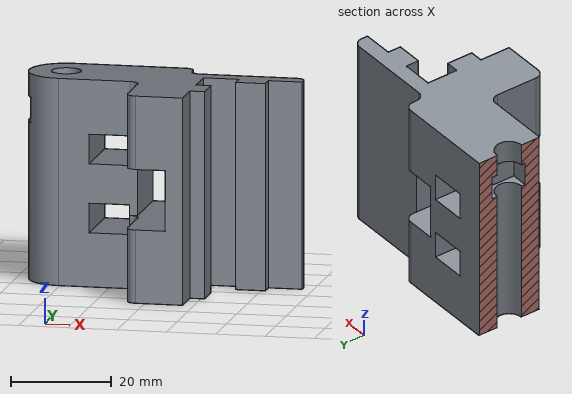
import cadquery as cq

length = 55.5
depth = 28.5
height = 42.0

barrel_radius = 7.5
pin_diameter = 6.0
barrel_y = depth - barrel_radius
body_front = depth - 2 * barrel_radius
edge_radius = 2.0

plate_thickness = 3.5
plate_left = 32.0
plate_right = plate_left + plate_thickness
flange_back = 23.6
flange_front = flange_back - plate_thickness

rib_width = 6.0
rib_depth = 3.0
flange_rib_left = 42.7
plate_rib_front = 7.0

block_left = 24.0
window_left = 23.5
window_bottom = 14.9
window_height = 12.25

strap_left = 13.7
strap_width = 8.15
strap_height = 6.0
strap_bottoms = (11.0, 25.0)

barrel_slot_width = 8.05
barrel_slot_y = 21.2
barrel_slot_bottom = 32.0
barrel_slot_height = 5.1
barrel_slot_depth = 11.1


def box(x, y, z, size_x, size_y, size_z):
    """Box given by its lowest corner and its sizes."""
    return cq.Workplane("XY").box(size_x, size_y, size_z, centered=False).translate((x, y, z))


def make_profile():
    """Full-height body, front block, plates and ribs."""
    r = edge_radius
    body = (
        cq.Workplane("XY")
        .moveTo(barrel_radius, body_front)
        .lineTo(block_left - r, body_front)
        .radiusArc((block_left, body_front - r), r)
        .lineTo(block_left, r)
        .radiusArc((block_left + r, 0), -r)
        .lineTo(plate_right, 0)
        .lineTo(plate_right, flange_front)
        .lineTo(length, flange_front)
        .lineTo(length, flange_back - r)
        .radiusArc((length - r, flange_back), -r)
        .lineTo(plate_left + r, flange_back)
        .radiusArc((plate_left, flange_back + r), r)
        .lineTo(plate_left, depth - r)
        .radiusArc((plate_left - r, depth), -r)
        .lineTo(barrel_radius, depth)
        .threePointArc((0, barrel_y), (barrel_radius, body_front))
        .close()
        .extrude(height)
    )
    flange_rib = box(flange_rib_left, flange_front - rib_depth, 0, rib_width, rib_depth, height)
    plate_rib = box(plate_right, plate_rib_front, 0, rib_depth, rib_width, height)
    return body.union(flange_rib).union(plate_rib)


def make_pin_hole():
    return (
        cq.Workplane("XY")
        .center(barrel_radius, barrel_y)
        .circle(pin_diameter / 2)
        .extrude(height)
    )


def make_window():
    """Opening through the body, with a gap that divides the front block and its fillet in two."""
    gap_left = block_left - edge_radius
    opening = box(window_left, 0, window_bottom, plate_left - window_left, depth, window_height)
    block_gap = box(gap_left, 0, window_bottom, plate_left - gap_left, body_front, window_height)
    return opening.union(block_gap)


def make_strap_slot(bottom):
    return box(strap_left, 0, bottom, strap_width, depth, strap_height)


def make_barrel_slot():
    slot_front = barrel_slot_y - barrel_slot_width / 2
    return box(0, slot_front, barrel_slot_bottom, barrel_slot_depth, barrel_slot_width, barrel_slot_height)


result = make_profile().cut(make_pin_hole()).cut(make_window()).cut(make_barrel_slot())
for strap_bottom in strap_bottoms:
    result = result.cut(make_strap_slot(strap_bottom))